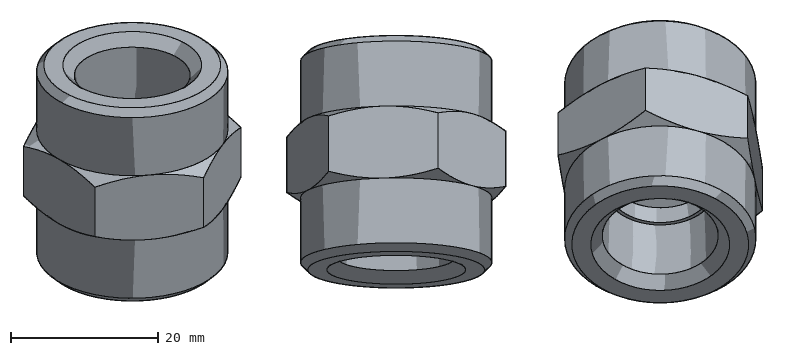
import cadquery as cq
import math

hex_across_corners = 30.02
hex_across_flats = hex_across_corners * math.cos(math.radians(30))
hex_height = 10.0
hex_chamfer_angle = 30.0
body_height = 30.0
body_radius = hex_across_flats / 2
body_chamfer = 1.0

mouth_radius = 9.43
port_radius = 7.87
port_end_radius = 7.6
port_depth = 10.25
drill_radius = 7.08
through_radius = 5.52
drill_depth = 12.9
countersink_depth = mouth_radius - port_radius
drill_point_angle = 118.0
drill_cone_length = (drill_radius - through_radius) / math.tan(math.radians(drill_point_angle / 2))


def make_body():
    """Cylinder with chamfered ends."""
    body = cq.Workplane("XY").circle(body_radius).extrude(body_height / 2, both=True)
    return body.faces("|Z").chamfer(body_chamfer)


def make_hex():
    """Hexagonal collar with corners on X, its corners turned down by a cone at each face."""
    corner_radius = hex_across_corners / 2
    drop = (corner_radius - body_radius) * math.tan(math.radians(hex_chamfer_angle))
    half_height = hex_height / 2
    collar = cq.Workplane("XY").polygon(6, hex_across_corners).extrude(half_height, both=True)
    turned_blank = (
        cq.Workplane("XZ")
        .moveTo(0, -half_height)
        .lineTo(body_radius, -half_height)
        .lineTo(corner_radius, drop - half_height)
        .lineTo(corner_radius, half_height - drop)
        .lineTo(body_radius, half_height)
        .lineTo(0, half_height)
        .close()
        .revolve(360, (0, 0), (0, 1))
    )
    return collar.intersect(turned_blank)


def make_port():
    """Stepped bore cut from the top end down to the middle of the part."""
    top = body_height / 2
    return (
        cq.Workplane("XZ")
        .moveTo(0, top)
        .lineTo(mouth_radius, top)
        .lineTo(port_radius, top - countersink_depth)
        .lineTo(port_end_radius, top - port_depth)
        .lineTo(drill_radius, top - port_depth)
        .lineTo(drill_radius, top - drill_depth)
        .lineTo(through_radius, top - drill_depth - drill_cone_length)
        .lineTo(through_radius, 0)
        .lineTo(0, 0)
        .close()
        .revolve(360, (0, 0), (0, 1))
    )


upper_port = make_port()
lower_port = upper_port.mirror("XY")
result = make_body().union(make_hex()).cut(upper_port).cut(lower_port)